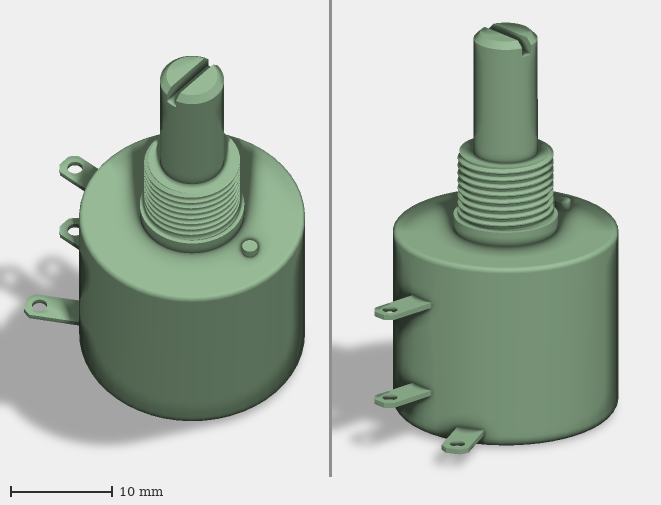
import cadquery as cq

body_diameter = 22.35
body_height = 19.1
body_top_fillet = 0.48
body_bottom_fillet = 1.2

collar_diameter = 10.33
collar_top = 20.58
bushing_top = 27.2
thread_root_radius = 4.35
thread_crest_radius = 4.75
thread_pitch = 0.8
thread_base_width = 0.68
thread_crest_width = 0.1
thread_start = 19.85
thread_turns = 10
thread_overlap = 0.1

shaft_diameter = 6.35
shaft_top = 39.88
shaft_chamfer = 0.65
slot_width = 1.2
slot_depth = 1.6

pin_diameter = 1.5
pin_offset = 7.58
pin_height = 0.9

tab_width = 2.8
tab_thickness = 0.5
tab_reach = 16.8
tab_root = 7.98
tab_corner = 0.68
tab_hole_diameter = 1.5
tab_hole_radius = 15.35
tab_places = [(14.2, 0), (4.85, 0), (1.67, 30)]


def make_body():
    body = cq.Workplane("XY").circle(body_diameter / 2).extrude(body_height)
    body = body.faces(">Z").edges().fillet(body_top_fillet)
    return body.faces("<Z").edges().fillet(body_bottom_fillet)


def make_thread():
    """Right-hand helical ridge, trimmed flush with the top of the bushing."""
    inner_radius = thread_root_radius - thread_overlap
    helix_height = thread_turns * thread_pitch
    profile = [
        (inner_radius, -thread_base_width / 2),
        (thread_crest_radius, -thread_crest_width / 2),
        (thread_crest_radius, thread_crest_width / 2),
        (inner_radius, thread_base_width / 2),
    ]
    helices = [
        cq.Wire.makeHelix(thread_pitch, helix_height, radius)
        .translate(cq.Vector(0, 0, thread_start + rise))
        for radius, rise in profile
    ]
    flanks = [
        cq.Face.makeRuledSurface(helices[i - 1], helices[i])
        for i in range(len(helices))
    ]
    start_cap = cq.Face.makeFromWires(
        cq.Wire.makePolygon([helix.startPoint() for helix in helices], close=True)
    )
    end_cap = start_cap.translate(cq.Vector(0, 0, helix_height))
    faces = [face for flank in flanks for face in flank.Faces()]
    ridge = cq.Solid.makeSolid(cq.Shell.makeShell(faces + [start_cap, end_cap])).fix()
    trim = (
        cq.Workplane("XY", origin=(0, 0, bushing_top))
        .circle(body_diameter / 2)
        .extrude(2 * thread_pitch)
    )
    return cq.Workplane(ridge).cut(trim)


def make_bushing():
    collar = (
        cq.Workplane("XY", origin=(0, 0, body_height))
        .circle(collar_diameter / 2)
        .extrude(collar_top - body_height)
    )
    core = (
        cq.Workplane("XY", origin=(0, 0, body_height))
        .circle(thread_root_radius)
        .extrude(bushing_top - body_height)
    )
    return core.union(make_thread()).union(collar)


def make_shaft():
    shaft = (
        cq.Workplane("XY", origin=(0, 0, body_height))
        .circle(shaft_diameter / 2)
        .extrude(shaft_top - body_height)
        .faces(">Z").edges().chamfer(shaft_chamfer)
    )
    slot = (
        cq.Workplane("XY", origin=(0, 0, shaft_top - slot_depth))
        .rect(slot_width, 2 * shaft_diameter)
        .extrude(slot_depth)
    )
    return shaft.cut(slot)


def make_pin():
    return (
        cq.Workplane("XY", origin=(pin_offset, 0, body_height))
        .circle(pin_diameter / 2)
        .extrude(pin_height)
    )


def make_tab(height, angle):
    length = tab_reach - tab_root
    strip = (
        cq.Workplane("XY")
        .box(length, tab_width, tab_thickness)
        .translate((-(tab_reach + tab_root) / 2, 0, 0))
        .edges("|Z and <X").chamfer(tab_corner)
    )
    hole = (
        cq.Workplane("XY", origin=(-tab_hole_radius, 0, -tab_thickness))
        .circle(tab_hole_diameter / 2)
        .extrude(2 * tab_thickness)
    )
    return strip.cut(hole).rotate((0, 0, 0), (0, 0, 1), angle).translate((0, 0, height))


result = make_body().union(make_bushing()).union(make_shaft()).union(make_pin())
for tab_height, tab_angle in tab_places:
    result = result.union(make_tab(tab_height, tab_angle))